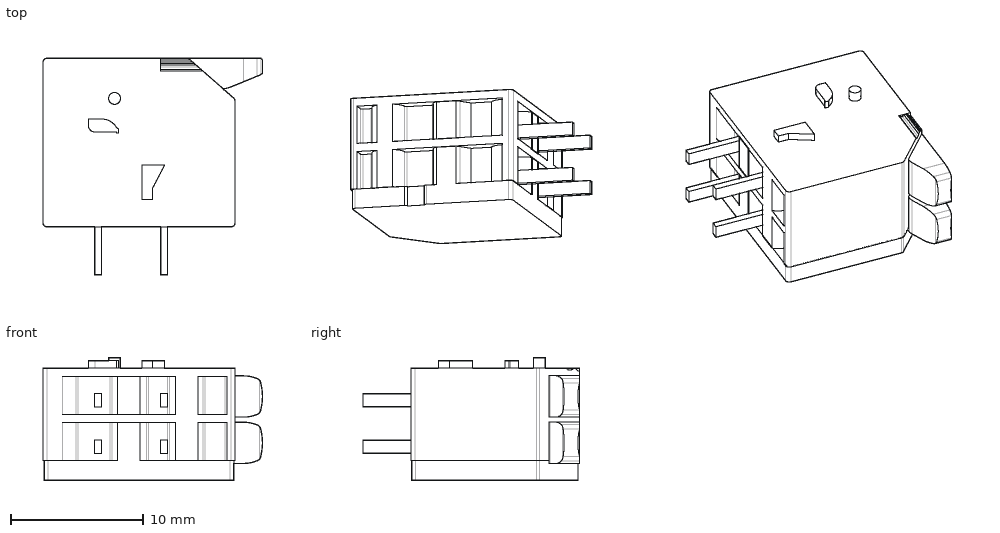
import cadquery as cq
import math

housing_length = 14.5
housing_depth = 12.73
base_height = 1.48
pole_pitch = 3.5
pole_count = 2
pole_wall = 0.63
corner_radius = 0.3
housing_top = base_height + pole_count * pole_pitch
window_height = pole_pitch - pole_wall

slant_rear_x = 10.98
slant_right_y = 9.63

base_inset = 0.1
base_front_inset = 0.05

window_depth = 1.18
window_corner_radius = 0.15

pin_width = 0.53
pin_height = 1.0
pin_length = 3.61
pin_rise = 0.56
pin_lefts = (3.9, 8.89)

lever_tip_x = 16.58
lever_height = 3.13
lever_drop = 0.22

peg_diameter = 0.9
peg_height = 0.78
peg_centre = (5.4, 9.7)
boss_height = 0.56

pole_floors = [base_height + pole * pole_pitch for pole in range(pole_count)]


def on_left(along, depth):
    """A point of the left wall: along runs in Y, depth runs into the housing."""
    return (depth, along)


def on_front(along, depth):
    """A point of the front wall: along runs in X, depth runs into the housing."""
    return (along, depth)


def prism(sketch, floor, height):
    return sketch.close().extrude(height).translate((0, 0, floor))


def block(left, right, front, rear, bottom, height):
    size = (right - left, rear - front, height)
    return cq.Workplane("XY").box(*size, centered=False).translate((left, front, bottom))


def slanted_block(left, right, front, rear, bottom, height):
    """A block with its rear right corner cut off at a slant and its left and right corners rounded.

    The slant moves inward together with the right side.
    """
    slope = (housing_depth - slant_right_y) / (housing_length - slant_rear_x)
    slant_end_x = slant_rear_x + (housing_depth - rear) / slope
    slant_end_y = slant_right_y + (housing_length - right) * slope
    inset = housing_length - right
    outline = [
        (left, front),
        (right, front),
        (right, slant_end_y - inset),
        (slant_end_x - inset, rear),
        (left, rear),
    ]
    shape = prism(cq.Workplane("XY").polyline(outline), bottom, height)
    return shape.edges("|Z and (<X or >X)").fillet(corner_radius)


def housing():
    return slanted_block(0, housing_length, 0, housing_depth, base_height, housing_top - base_height)


def base():
    right = housing_length - base_inset
    rear = housing_depth - base_inset
    return slanted_block(base_inset, right, base_front_inset, rear, 0, base_height)


def window_side(edge, lead, inward, depth, radius):
    """Curves of one side of a window, as (along, depth) points from the wall to the back.

    The side bulges inward by lead over its depth, then a corner of the given radius meets the back.
    """
    foot = edge + inward * lead
    foot_depth = depth - radius
    curves = []
    if lead:
        bulge = (lead**2 + foot_depth**2) / (2 * lead)
        half_angle = math.asin(foot_depth / bulge) / 2
        middle = foot - inward * bulge * (1 - math.cos(half_angle))
        middle_depth = foot_depth - bulge * math.sin(half_angle)
        curves.append([(edge, 0), (middle, middle_depth), (foot, foot_depth)])
    else:
        curves.append([(edge, 0), (foot, foot_depth)])
    if radius:
        sagitta = radius * (1 - math.sqrt(0.5))
        corner_middle = (foot + inward * sagitta, depth - sagitta)
        curves.append([(foot, foot_depth), corner_middle, (foot + inward * radius, depth)])
    return curves


def curve_edge(place, points):
    vectors = [cq.Vector(*place(*point)) for point in points]
    if len(vectors) == 2:
        return cq.Edge.makeLine(*vectors)
    return cq.Edge.makeThreePointArc(*vectors)


def recess(place, sides, depth, radius, floor, height):
    """A recess into a wall from low to high, each side bulging inward by its lead."""
    low, low_lead, high, high_lead = sides
    low_side = window_side(low, low_lead, 1, depth, radius)
    high_side = window_side(high, high_lead, -1, depth, radius)
    back = [low_side[-1][-1], high_side[-1][-1]]
    mouth = [low_side[0][0], high_side[0][0]]
    edges = [curve_edge(place, points) for points in [*low_side, back, *reversed(high_side), mouth]]
    outline = cq.Wire.assembleEdges(edges)
    solid = cq.Solid.extrudeLinear(outline, [], cq.Vector(0, 0, height))
    return cq.Workplane(solid).translate((0, 0, floor))


left_windows = [
    (5.95, 0.5, 9.4, 0.68),
    (10.6, 0.65, 12.17, 0),
]
front_windows = [
    (1.48, 1.03, 5.64, 0.43),
    (7.33, 0.5, 10.0, 0.43),
    (11.69, 0.4, 13.9, 0),
]

corner_window_edges = (0.8, 4.43)
post_radius = 1.13
post_setback = 0.51
post_blend_radius = 0.13
splay_start = (0.33, 4.18)
splay_end_y = 3.55


def corner_window(floor):
    front, rear = corner_window_edges
    blend_start = post_setback - post_blend_radius
    blend_cut = post_blend_radius * math.sqrt(0.5)
    post_x = post_setback + post_radius
    post_y = front + post_blend_radius
    end_angle = math.acos((post_x - window_depth) / post_radius)
    post_middle = (
        post_x - post_radius * math.cos(end_angle / 2),
        post_y + post_radius * math.sin(end_angle / 2),
    )
    post_end = (window_depth, post_y + post_radius * math.sin(end_angle))
    sketch = (
        cq.Workplane("XY")
        .moveTo(0, front)
        .lineTo(blend_start, front)
        .threePointArc((blend_start + blend_cut, post_y - blend_cut), (post_setback, post_y))
        .threePointArc(post_middle, post_end)
        .lineTo(window_depth, splay_end_y)
        .lineTo(*splay_start)
        .tangentArcPoint((base_inset, rear), relative=False)
        .lineTo(0, rear)
    )
    return prism(sketch, floor, window_height)


def pole_windows(floor):
    """All windows of one pole, with one post of each wall set back flush with the base."""
    cuts = corner_window(floor)
    for place, windows in ((on_left, left_windows), (on_front, front_windows)):
        for sides in windows:
            window = recess(place, sides, window_depth, window_corner_radius, floor, window_height)
            cuts = cuts.union(window)
    left_post_front = corner_window_edges[1]
    left_post_rear = left_windows[0][0]
    front_post_left = front_windows[0][2]
    front_post_right = front_windows[1][0]
    left_post = block(0, base_inset, left_post_front, left_post_rear, floor, window_height)
    front_post = block(front_post_left, front_post_right, 0, base_front_inset, floor, window_height)
    return cuts.union(left_post).union(front_post)


notch_sides = (6.76, 0.23, 8.49, 0.18)
notch_depth = 0.25


def base_notch():
    notch = recess(on_left, notch_sides, notch_depth, radius=0, floor=0, height=base_height)
    return notch.translate((base_inset, 0, 0))


def pole_pins(floor):
    pins = cq.Workplane("XY")
    for left in pin_lefts:
        right = left + pin_width
        pins = pins.add(block(left, right, -pin_length, window_depth, floor + pin_rise, pin_height))
    return pins.combine()


lever_plan_corners = [(slant_rear_x, 10.45), (13.81, 10.45), (14.08, 10.51), (16.35, 11.44)]
lever_nose_sides = (11.57, 12.6)
lever_shoulder_x = 16.45
lever_curve_x = 15.12
lever_curve_middle = (15.65, 0.05)
lever_curve_end = (16.15, 0.2)
lever_corner_middle = (16.36, 0.35)
lever_nose_start = (16.45, 0.53)


def lever(floor):
    """A lever filling the slanted corner: its plan outline trimmed by its rounded side profile."""
    bottom = floor - lever_drop
    top = bottom + lever_height
    nose_front, nose_rear = lever_nose_sides
    plan = prism(
        cq.Workplane("XY")
        .moveTo(slant_rear_x, housing_depth)
        .polyline(lever_plan_corners, includeCurrent=True)
        .lineTo(lever_tip_x, nose_front)
        .lineTo(lever_tip_x, nose_rear)
        .lineTo(lever_shoulder_x, housing_depth),
        bottom,
        lever_height,
    )

    def upper(point):
        return (point[0], top - point[1])

    def lower(point):
        return (point[0], bottom + point[1])

    profile = (
        cq.Workplane("XZ")
        .moveTo(slant_rear_x, bottom)
        .lineTo(slant_rear_x, top)
        .lineTo(lever_curve_x, top)
        .threePointArc(upper(lever_curve_middle), upper(lever_curve_end))
        .threePointArc(upper(lever_corner_middle), upper(lever_nose_start))
        .threePointArc((lever_tip_x, (top + bottom) / 2), lower(lever_nose_start))
        .threePointArc(lower(lever_corner_middle), lower(lever_curve_end))
        .threePointArc(lower(lever_curve_middle), (lever_curve_x, bottom))
        .close()
        .extrude(-housing_depth)
    )
    return plan.intersect(profile)


coding_boss_left = 3.43
coding_boss_right = 5.69
coding_boss_front = 7.16
coding_boss_rear = 8.14
coding_boss_corner = 0.5
coding_boss_arc_start_x = 4.45
coding_boss_arc_end = (5.55, 7.51)
coding_boss_tip_rear = 7.4
coding_boss_tip_front = 7.1
funnel_boss_corners = [(7.46, 2.07), (8.27, 2.07), (8.27, 2.92), (9.19, 4.66), (7.46, 4.66)]

ridge_left = 8.89
ridge_profile = [(11.75, 0), (11.87, 0.15), (12.05, 0.15), (12.22, 0.1), (12.34, 0), (12.45, 0.03), (12.62, 0.23)]


def top_bosses():
    coding_boss = prism(
        cq.Workplane("XY")
        .moveTo(coding_boss_left, coding_boss_rear)
        .lineTo(coding_boss_arc_start_x, coding_boss_rear)
        .tangentArcPoint(coding_boss_arc_end, relative=False)
        .lineTo(coding_boss_right, coding_boss_tip_rear)
        .lineTo(coding_boss_right, coding_boss_tip_front)
        .lineTo(coding_boss_arc_end[0], coding_boss_tip_front)
        .lineTo(coding_boss_arc_end[0], coding_boss_front)
        .lineTo(coding_boss_left + coding_boss_corner, coding_boss_front)
        .radiusArc((coding_boss_left, coding_boss_front + coding_boss_corner), coding_boss_corner),
        housing_top,
        boss_height,
    )
    funnel_boss = prism(cq.Workplane("XY").polyline(funnel_boss_corners), housing_top, boss_height)
    peg = (
        cq.Workplane("XY", origin=(*peg_centre, housing_top))
        .circle(peg_diameter / 2)
        .extrude(peg_height)
    )
    return coding_boss.union(funnel_boss).union(peg)


def ridge_cut():
    """Material removed around the low ridge along the rear edge of the top."""
    profile = [(y, housing_top - drop) for y, drop in ridge_profile]
    rear_low = (housing_depth, profile[-1][1])
    rear_high = (housing_depth, housing_top + boss_height)
    front_high = (profile[0][0], rear_high[1])
    outline = [*profile, rear_low, rear_high, front_high]
    return (
        cq.Workplane("YZ", origin=(ridge_left, 0, 0))
        .polyline(outline)
        .close()
        .extrude(housing_length - ridge_left)
    )


result = housing().union(base().cut(base_notch()))
result = result.cut(ridge_cut())
for pole_floor in pole_floors:
    result = result.cut(pole_windows(pole_floor))
for pole_floor in pole_floors:
    result = result.union(pole_pins(pole_floor)).union(lever(pole_floor))
result = result.union(top_bosses())